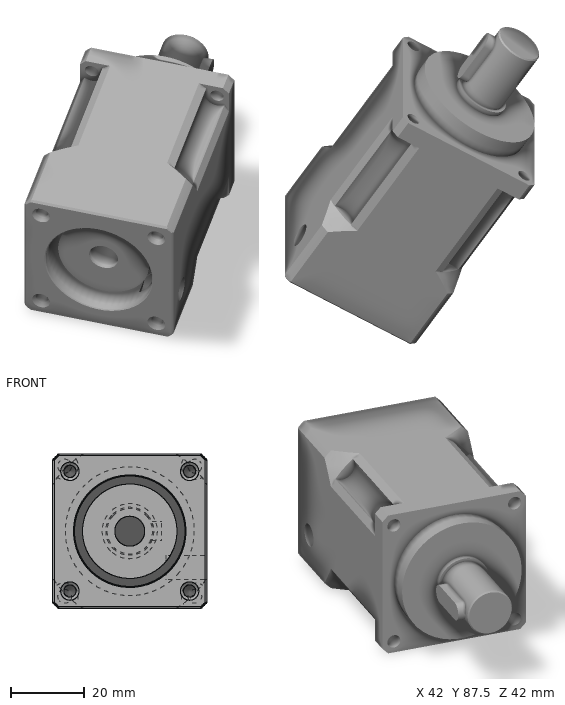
import cadquery as cq
import math

body_size = 42.0
body_length = 61.45
total_length = 87.5
half = body_size / 2

pilot_diameter = 35.0
pilot_length = 5.5
shoulder_diameter = 15.0
shoulder_length = 1.5
shaft_diameter = 13.0
shaft_chamfer = 0.35
key_width = 5.2
key_length = 16.0
key_top = 8.6
key_tip_gap = 2.0

flange_chamfer = 1.7
flange_thickness = 5.4
corner_flat = 1.9
turned_length = 19.6
cone_length = 4.55
motor_edge_chamfer = 0.5
turned_edge_chamfer = 0.3

flange_bolt_circle = 50.0
flange_bolt_offset = flange_bolt_circle / 2 / math.sqrt(2)
flange_hole_diameter = 3.8
motor_bolt_circle = 46.0
motor_bolt_offset = motor_bolt_circle / 2 / math.sqrt(2)
motor_hole_diameter = 3.3
motor_hole_depth = 10.0
motor_hole_mouth = 5.0
motor_hole_mouth_depth = 1.0
drill_point_angle = 118

groove_radius = 3.7
lip_offset = 8.5
throat_offset = 6.4

recess_diameter = 30.0
recess_depth = 12.0
recess_chamfer = 0.3
hub_diameter = 25.65
hub_depth = 5.0
bore_diameter = 8.1
bore_depth = 20.0

access_diameter = 6.5
access_y = 8.4
access_z = -9.8
access_end_x = 9.8


def cylinder(start, length, diameter, x=0.0, z=0.0):
    """Cylinder along +Y beginning at y = start."""
    base = cq.Workplane("XZ", origin=(x, start, z))
    return base.circle(diameter / 2).extrude(-length)


def four_corners(shape):
    """Copies of a shape turned to the four corners about the Y axis."""
    corners = shape
    for quarter in range(1, 4):
        corners = corners.union(shape.rotate((0, 0, 0), (0, 1, 0), 90 * quarter))
    return corners


def make_body():
    """Square block; its corners are bevelled at the flange and turned at the motor end."""
    block = cq.Workplane("XZ").rect(body_size, body_size).extrude(-body_length)
    block = block.faces("<Y").chamfer(motor_edge_chamfer)
    block = block.edges("|Y").chamfer(flange_chamfer)

    turned_radius = math.hypot(half, half - corner_flat)
    cone_radius = math.hypot(half, half - lip_offset)
    cone_end = turned_length + cone_length
    clearance_radius = body_size
    envelope = (
        cq.Workplane("XY")
        .moveTo(0, 0)
        .lineTo(turned_radius - turned_edge_chamfer, 0)
        .lineTo(turned_radius, turned_edge_chamfer)
        .lineTo(turned_radius, turned_length)
        .lineTo(cone_radius, cone_end)
        .lineTo(clearance_radius, cone_end)
        .lineTo(clearance_radius, body_length)
        .lineTo(0, body_length)
        .close()
        .revolve(360, (0, 0, 0), (0, 1, 0))
    )
    return block.intersect(envelope)


def make_groove():
    """Groove at the +X, +Z edge: an arc around the bolt axis, opening outwards at both lips."""
    centre = flange_bolt_offset
    lip = half - lip_offset
    throat = half - throat_offset
    throat_depth = centre + math.sqrt(groove_radius**2 - (centre - throat) ** 2)
    deepest = centre - groove_radius / math.sqrt(2)
    start = turned_length + cone_length
    return (
        cq.Workplane("XZ", origin=(0, start, 0))
        .moveTo(half, half)
        .lineTo(lip, half)
        .lineTo(throat, throat_depth)
        .threePointArc((deepest, deepest), (throat_depth, throat))
        .lineTo(half, lip)
        .close()
        .extrude(-(body_length - flange_thickness - start))
    )


def make_flange_hole():
    """Plain hole through the flange, opening into the groove behind it."""
    offset = flange_bolt_offset
    start = body_length - flange_thickness
    return cylinder(start, flange_thickness, flange_hole_diameter, offset, offset)


def make_motor_hole():
    """Blind drilled hole with a countersunk mouth and a conical drill point."""
    radius = motor_hole_diameter / 2
    point_length = radius / math.tan(math.radians(drill_point_angle / 2))
    profile = (
        cq.Workplane("XY")
        .moveTo(0, 0)
        .lineTo(motor_hole_mouth / 2, 0)
        .lineTo(radius, motor_hole_mouth_depth)
        .lineTo(radius, motor_hole_depth)
        .lineTo(0, motor_hole_depth + point_length)
        .close()
    )
    hole = profile.revolve(360, (0, 0, 0), (0, 1, 0))
    return hole.translate((motor_bolt_offset, 0, motor_bolt_offset))


def make_recess():
    """Round recess with a chamfered rim, leaving the bored clamp hub standing in it."""
    recess = cylinder(0, recess_depth, recess_diameter)
    rim = cq.Workplane("XZ").circle(recess_diameter / 2 + recess_chamfer)
    rim = rim.extrude(-recess_chamfer, taper=45)
    hub = cylinder(hub_depth, recess_depth - hub_depth, hub_diameter)
    bore = cylinder(hub_depth, bore_depth, bore_diameter)
    return recess.union(rim).cut(hub).union(bore)


def make_access_hole():
    """Flat-ended hole from the +X side that breaks into the recess beside the hub."""
    base = cq.Workplane("YZ", origin=(access_end_x, access_y, access_z))
    return base.circle(access_diameter / 2).extrude(half - access_end_x)


def make_output():
    """Pilot, shoulder and shaft with its round-ended key on the +X side."""
    shoulder_start = body_length + pilot_length
    shaft_start = shoulder_start + shoulder_length
    pilot = cylinder(body_length, pilot_length, pilot_diameter)
    shoulder = cylinder(shoulder_start, shoulder_length, shoulder_diameter)
    shaft = cylinder(shaft_start, total_length - shaft_start, shaft_diameter)
    shaft = shaft.faces(">Y").chamfer(shaft_chamfer)
    key_middle = total_length - key_tip_gap - key_length / 2
    key = (
        cq.Workplane("YZ", origin=(0, key_middle, 0))
        .slot2D(key_length, key_width)
        .extrude(key_top)
    )
    return pilot.union(shoulder).union(shaft).union(key)


result = (
    make_body()
    .cut(four_corners(make_groove()))
    .cut(four_corners(make_flange_hole()))
    .cut(four_corners(make_motor_hole()))
    .cut(make_recess())
    .cut(make_access_hole())
    .union(make_output())
)